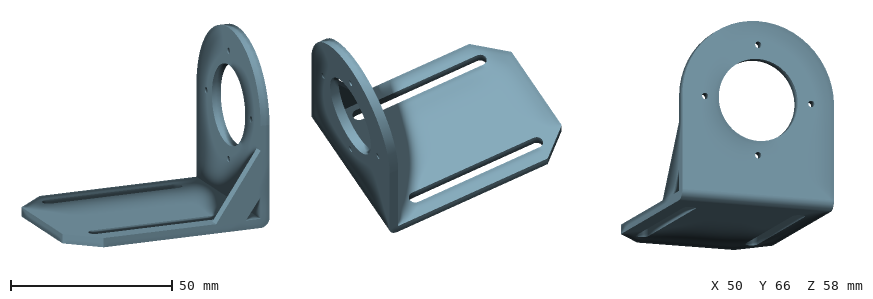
import cadquery as cq

width = 50.0
depth = 66.0
thickness = 3.0
bend_radius = 3.0

top_radius = width / 2
bore_height = 33.0
bore_diameter = 26.0
screw_diameter = 2.0
screw_circle_diameter = 35.0
screw_count = 4

slot_width = 4.0
slot_length = 47.0
slot_spacing = 36.0
slot_back_margin = 11.0
corner_clip_x = 9.0
corner_clip_y = 10.0

gusset_thickness = 3.0
gusset_outer_reach = 15.0
gusset_outer_rise = 22.0
gusset_inner_reach = 5.0
gusset_inner_rise = 7.0

half_width = width / 2


def make_base():
    """Flat plate running forward from the back face, with both front corners clipped."""
    outline = [
        (-half_width, 0),
        (half_width, 0),
        (half_width, -depth + corner_clip_y),
        (half_width - corner_clip_x, -depth),
        (-half_width + corner_clip_x, -depth),
        (-half_width, -depth + corner_clip_y),
    ]
    return cq.Workplane("XY").polyline(outline).close().extrude(thickness)


def make_upright():
    """Vertical plate at the back with a semicircular top."""
    return (
        cq.Workplane("XZ")
        .moveTo(-half_width, 0)
        .lineTo(half_width, 0)
        .lineTo(half_width, bore_height)
        .threePointArc((0, bore_height + top_radius), (-half_width, bore_height))
        .close()
        .extrude(thickness)
    )


def make_gusset():
    """Diagonal brace in the inner corner, flush with the +X side."""
    outline = [
        (-thickness, thickness + gusset_inner_rise),
        (-thickness, thickness + gusset_outer_rise),
        (-thickness - gusset_outer_reach, thickness),
        (-thickness - gusset_inner_reach, thickness),
    ]
    return (
        cq.Workplane("YZ", origin=(half_width - gusset_thickness, 0, 0))
        .polyline(outline)
        .close()
        .extrude(gusset_thickness)
    )


def make_slots():
    """Cutters for the two long adjustment slots in the base."""
    slot_centre_y = -slot_back_margin - slot_length / 2
    return (
        cq.Workplane("XY")
        .pushPoints([(-slot_spacing / 2, slot_centre_y), (slot_spacing / 2, slot_centre_y)])
        .slot2D(slot_length, slot_width, angle=90)
        .extrude(thickness)
    )


def make_motor_holes():
    """Cutters for the motor bore and the ring of screw holes around it."""
    face = cq.Workplane("XZ", origin=(0, 0, bore_height))
    bore = face.circle(bore_diameter / 2).extrude(thickness)
    screws = (
        face.polarArray(screw_circle_diameter / 2, 0, 360, screw_count)
        .circle(screw_diameter / 2)
        .extrude(thickness)
    )
    return bore.union(screws)


angle_plate = make_base().union(make_upright())
angle_plate = angle_plate.edges("|X and >Y and <Z").fillet(bend_radius)

result = angle_plate.union(make_gusset()).cut(make_slots()).cut(make_motor_holes())